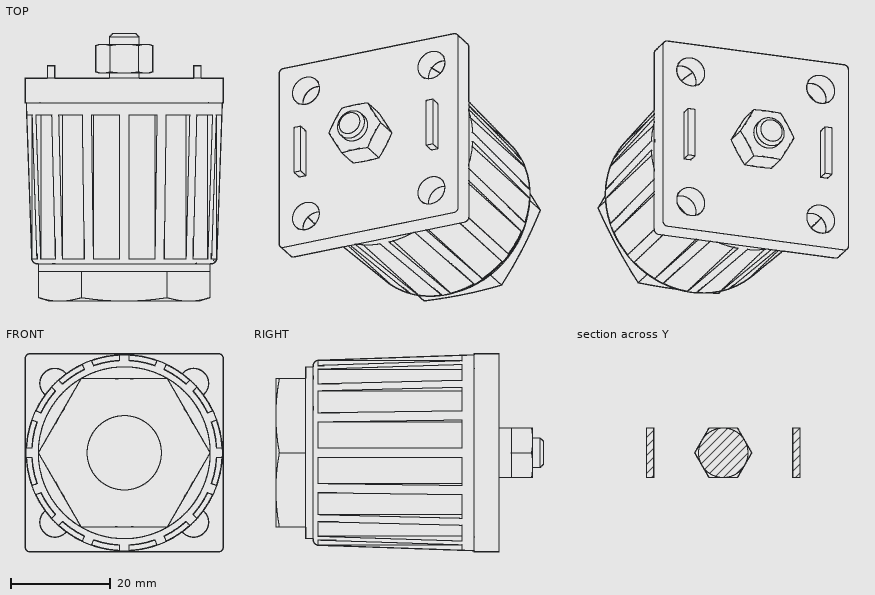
import cadquery as cq
import math

cap_height = 6.0
collar_end = 7.5
groove_start = 8.5
groove_end = 37.5
body_end = 40.0
plate_thickness = 5.0
plate_end = body_end + plate_thickness
nut_start = plate_end + 1.0
nut_end = nut_start + 5.8
stud_end = 54.0

plate_side = 40.0
plate_corner_radius = 1.0
screw_hole_diameter = 6.0
screw_hole_offset = 14.0

body_back_radius = 19.8
body_front_radius = 18.65
body_front_fillet = 1.2
groove_floor_radius = 18.6
rib_count = 16
rib_width = 2.0

collar_diameter = 34.68
cap_across_flats = 30.0
cap_chamfer_height = 0.7
cable_hole_diameter = 15.0
cable_hole_depth = 6.0

stud_diameter = 6.0
stud_chamfer = 0.7
nut_across_flats = 10.0
nut_chamfer_height = 0.25
tab_inner_x = 14.0
tab_thickness = 1.5
tab_length = 2.5
tab_width = 10.0


def section(height):
    """Work plane square to the part axis at the given height, extruding towards the back."""
    return cq.Workplane(cq.Plane(origin=(0, height, 0), xDir=(1, 0, 0), normal=(0, 1, 0)))


def disc(diameter, start, end):
    return section(start).circle(diameter / 2).extrude(end - start)


def revolve_about_axis(profile):
    """Turn a closed (radius, height) profile drawn in the XY plane about the part axis."""
    return profile.close().revolve(360, (0, 0, 0), (0, 1, 0))


def hexagon(across_flats, start, end, front_chamfer, back_chamfer):
    """Hexagonal prism with corners on the X axis, its ends turned down to a circle on the flats."""
    flat_radius = across_flats / 2
    corner_radius = flat_radius / math.cos(math.radians(30))
    prism = section(start).polygon(6, 2 * corner_radius).extrude(end - start)
    envelope = cq.Workplane("XY").moveTo(0, start).lineTo(flat_radius, start)
    envelope = envelope.lineTo(corner_radius, start + front_chamfer)
    if back_chamfer > 0:
        envelope = envelope.lineTo(corner_radius, end - back_chamfer).lineTo(flat_radius, end)
    else:
        envelope = envelope.lineTo(corner_radius, end)
    return prism.intersect(revolve_about_axis(envelope.lineTo(0, end)))


def tapered_body():
    profile = (
        cq.Workplane("XY")
        .moveTo(0, collar_end)
        .lineTo(body_front_radius, collar_end)
        .lineTo(body_back_radius, body_end)
        .lineTo(0, body_end)
    )
    return revolve_about_axis(profile).faces("<Y").edges().fillet(body_front_fillet)


def grip_grooves():
    """Ring outside the groove floor, less the ribs that stay standing between the grooves."""
    length = groove_end - groove_start
    outer_radius = plate_side
    rib_length = 3 * outer_radius
    grooves = section(groove_start).circle(outer_radius).circle(groove_floor_radius).extrude(length)
    for index in range(rib_count // 2):
        rib_pair = section(groove_start).rect(rib_length, rib_width).extrude(length)
        angle = index * 360 / rib_count
        grooves = grooves.cut(rib_pair.rotate((0, 0, 0), (0, 1, 0), angle))
    return grooves


def flange():
    plate = section(body_end).rect(plate_side, plate_side).extrude(plate_thickness)
    plate = plate.edges("|Y").fillet(plate_corner_radius)
    holes = (
        section(body_end)
        .rect(2 * screw_hole_offset, 2 * screw_hole_offset, forConstruction=True)
        .vertices()
        .circle(screw_hole_diameter / 2)
        .extrude(plate_thickness)
    )
    return plate.cut(holes)


def tabs():
    tab_x = tab_inner_x + tab_thickness / 2
    return (
        section(plate_end)
        .pushPoints([(-tab_x, 0), (tab_x, 0)])
        .rect(tab_thickness, tab_width)
        .extrude(tab_length)
    )


def stud():
    return disc(stud_diameter, plate_end, stud_end).faces(">Y").edges().chamfer(stud_chamfer)


cap = hexagon(cap_across_flats, 0, cap_height, cap_chamfer_height, 0)
collar = disc(collar_diameter, cap_height, collar_end)
nut = hexagon(nut_across_flats, nut_start, nut_end, nut_chamfer_height, nut_chamfer_height)
body = tapered_body().cut(grip_grooves())

result = body.union(collar).union(cap).union(flange()).union(tabs()).union(stud()).union(nut)
result = result.cut(disc(cable_hole_diameter, 0, cable_hole_depth))